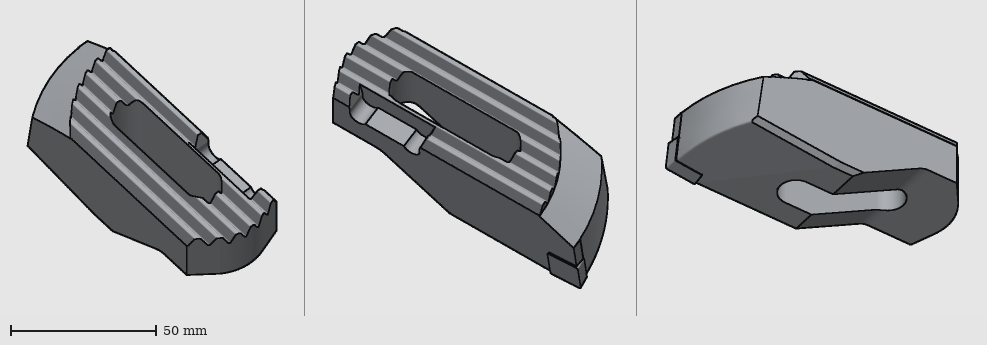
import cadquery as cq
import math


width = 35.7
height = 37.2
tail_height = 20.8
tail_end_x = 107.0
belly_end_x = 54.4
belly_slope = 30.0
belly_fillet = 8.0
side_chamfer = 1.9

nose_axis_x = 61.7
nose_top_radius = 44.3
nose_shoulder_radius = 58.4
nose_top_depth = 4.3
nose_shoulder_depth = 12.6
nose_tilt = 6.0
relief_tilt = 6.0
relief_start_x = 12.2
nose_edge_fillet = 0.9

tail_insert_side_x = 102.5
tail_arc_start = (105.7, -8.9)
tail_arc_middle = (tail_end_x, -16.6)
tail_arc_end = (103.7, -26.8)
tail_far_side_x = 96.6

tooth_count = 6
tooth_pitch = width / tooth_count
tooth_depth = 3.9
crest_width = 1.6
root_width = 0.5
crest_fillet = 0.4
root_fillet = 0.4

slot_length = 51.6
slot_width = 13.1
slot_center = (62.6, -15.6)

pocket_center_x = 81.2
pocket_depth_y = 7.9
pocket_wall_angle = 14.0
land_width = 15.8
land_depth = 9.2
pocket_slope_depth = 5.4
trough_radius = 3.4
trough_center_depth = 7.5

insert_side = 12.6
insert_thickness = 4.8
insert_stand_out = 0.6
insert_nose_radius = 0.9
insert_clearance = 7.0
insert_tilt = 6.0
insert_center_x = 6.8
insert_center_z = -30.7
insert_depth_y = insert_thickness - insert_stand_out

margin = 10.7
select_gap = 0.1


def tangent(angle):
    return math.tan(math.radians(angle))


def tooth_groove(center_y):
    half_top = (tooth_pitch - crest_width) / 2
    half_root = root_width / 2
    groove = (
        cq.Workplane("YZ")
        .polyline([
            (center_y - half_top, 0),
            (center_y - half_root, -tooth_depth),
            (center_y + half_root, -tooth_depth),
            (center_y + half_top, 0),
        ])
        .close()
        .extrude(tail_end_x)
    )
    return groove.edges("|X and <Z").fillet(root_fillet)


def cut_teeth(block):
    for index in range(tooth_count + 1):
        block = block.cut(tooth_groove(-index * tooth_pitch))
    return block.edges("|X and >Z").fillet(crest_fillet)


def make_block():
    """Side outline extruded across the width, toothed on top and trimmed in plan to the tail outline."""
    slope_run = (height - tail_height) / tangent(belly_slope)
    tail_start_x = belly_end_x + slope_run
    block = (
        cq.Workplane("XZ")
        .moveTo(0, 0)
        .lineTo(tail_end_x, 0)
        .lineTo(tail_end_x, -tail_height)
        .lineTo(tail_start_x, -tail_height)
        .lineTo(belly_end_x, -height)
        .lineTo(0, -height)
        .close()
        .extrude(width)
    )
    belly_corner = cq.selectors.NearestToPointSelector((tail_start_x, -width / 2, -tail_height))
    block = cut_teeth(block.edges(belly_corner).fillet(belly_fillet))
    plan = (
        cq.Workplane("XY")
        .moveTo(0, 0)
        .lineTo(tail_insert_side_x, 0)
        .lineTo(*tail_arc_start)
        .threePointArc(tail_arc_middle, tail_arc_end)
        .lineTo(tail_far_side_x, -width)
        .lineTo(0, -width)
        .close()
        .extrude(-height)
    )
    return block.intersect(plan)


def nose_waste():
    """Quarter ring of material outside the turned nose faces."""
    bottom_depth = height + margin
    bottom_radius = nose_shoulder_radius + (bottom_depth - nose_shoulder_depth) * tangent(nose_tilt)
    outer_radius = nose_axis_x + margin
    return (
        cq.Workplane("XZ", origin=(nose_axis_x, 0, 0))
        .polyline([
            (-nose_top_radius, margin),
            (-nose_top_radius, -nose_top_depth),
            (-nose_shoulder_radius, -nose_shoulder_depth),
            (-bottom_radius, -bottom_depth),
            (-outer_radius, -bottom_depth),
            (-outer_radius, margin),
        ])
        .close()
        .revolve(90, (0, 0), (0, 1))
    )


def relief_waste():
    """Material below the nose underside, which rises toward -X and toward -Y."""
    rise = tangent(relief_tilt)
    plane = cq.Plane(
        origin=(relief_start_x, 0, -height),
        xDir=(1, 0, -rise),
        normal=(rise, rise, 1),
    )
    span = 4 * tail_end_x
    return cq.Workplane(plane).rect(span, span).extrude(-margin)


def nose_flat():
    """Flat facet above the insert, as wide as the insert pocket."""
    foot_z = insert_center_z
    shoulder_x = nose_axis_x - nose_shoulder_radius
    foot_x = shoulder_x + (nose_shoulder_depth + foot_z) * tangent(nose_tilt)
    return (
        cq.Workplane("XZ")
        .polyline([
            (shoulder_x, -nose_shoulder_depth),
            (foot_x, foot_z),
            (insert_center_x, foot_z),
            (insert_center_x, -nose_shoulder_depth),
        ])
        .close()
        .extrude(insert_depth_y)
    )


def slot():
    return cq.Workplane("XY").center(*slot_center).slot2D(slot_length, slot_width).extrude(-height)


def cross_pocket():
    """Pocket with end walls that slope, then drop upright into a round trough."""
    half_land = land_width / 2
    trough_x = half_land + math.sqrt(trough_radius**2 - (land_depth - trough_center_depth) ** 2)
    trough_bottom = -trough_center_depth - trough_radius
    wall_x = trough_x + trough_radius
    half_top = wall_x + pocket_slope_depth * tangent(pocket_wall_angle)
    return (
        cq.Workplane("XZ", origin=(pocket_center_x, 0, 0))
        .moveTo(-half_top, 0)
        .lineTo(-wall_x, -pocket_slope_depth)
        .lineTo(-wall_x, -trough_center_depth)
        .threePointArc((-trough_x, trough_bottom), (-half_land, -land_depth))
        .lineTo(half_land, -land_depth)
        .threePointArc((trough_x, trough_bottom), (wall_x, -trough_center_depth))
        .lineTo(wall_x, -pocket_slope_depth)
        .lineTo(half_top, 0)
        .close()
        .extrude(pocket_depth_y)
    )


def make_insert():
    """Square insert whose flanks narrow away from its face on the +Y side."""
    face = cq.Sketch().rect(insert_side, insert_side).vertices().fillet(insert_nose_radius)
    return (
        cq.Workplane("XZ", origin=(0, insert_stand_out, 0))
        .placeSketch(face)
        .extrude(insert_thickness, taper=insert_clearance)
        .rotate((0, 0, 0), (0, 1, 0), insert_tilt)
        .translate((insert_center_x, 0, insert_center_z))
    )


def make_holder(insert):
    holder = make_block().cut(nose_waste()).cut(relief_waste())

    far_bottom_edges = cq.selectors.BoxSelector(
        (0, -width - select_gap, -height - select_gap),
        (belly_end_x, -width + select_gap, -height + side_chamfer),
    )
    holder = holder.edges(far_bottom_edges).chamfer(side_chamfer)

    nose_bottom_edge = cq.selectors.BoxSelector(
        (0, -width + side_chamfer, -height),
        (nose_axis_x - nose_top_radius, -side_chamfer, insert_center_z),
    )
    holder = holder.edges(nose_bottom_edge).fillet(nose_edge_fillet)

    holder = holder.union(nose_flat())
    return holder.cut(slot()).cut(cross_pocket()).cut(insert)


cutting_insert = make_insert()
holder = make_holder(cutting_insert)

result = cq.Compound.makeCompound([holder.val(), cutting_insert.val()])